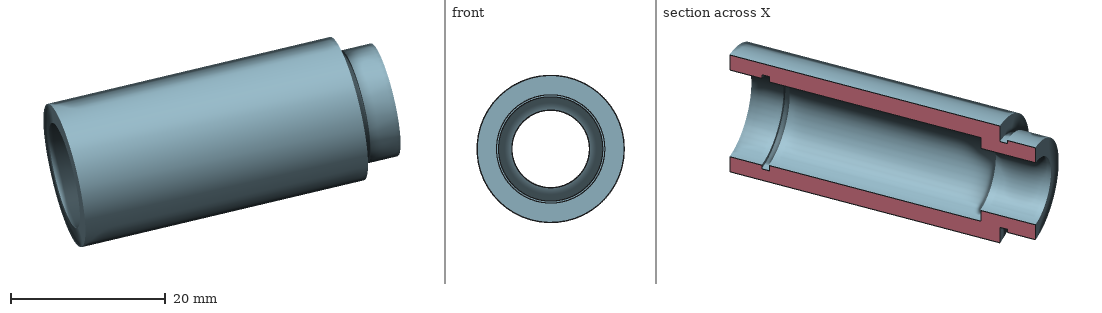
import cadquery as cq

total_length = 43.1
body_diameter = 19.05
collar_diameter = 15.0
collar_length = 4.0
neck_diameter = 14.0
neck_length = 1.0
bore_diameter = 10.0
socket_diameter = 14.0
socket_depth = 4.53
groove_diameter = 15.2
groove_width = 1.0
chamber_diameter = 13.5

body_length = total_length - collar_length - neck_length
chamber_end = body_length - (body_diameter - chamber_diameter) / 2
front_y = -total_length / 2


def cylinder(diameter, start, length):
    """Solid cylinder along +Y, starting a given distance behind the front face."""
    base = cq.Workplane("XZ", origin=(0, front_y + start, 0))
    return base.circle(diameter / 2).extrude(-length)


body = cylinder(body_diameter, 0, body_length)
neck = cylinder(neck_diameter, body_length, neck_length)
collar = cylinder(collar_diameter, body_length + neck_length, collar_length)
outside = body.union(neck).union(collar)

socket = cylinder(socket_diameter, 0, socket_depth)
groove = cylinder(groove_diameter, socket_depth, groove_width)
chamber = cylinder(chamber_diameter, 0, chamber_end)
bore = cylinder(bore_diameter, 0, total_length)

result = outside.cut(socket).cut(groove).cut(chamber).cut(bore)